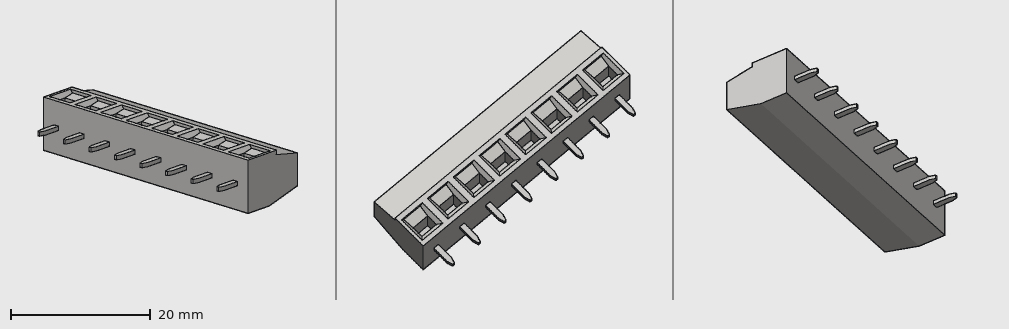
import cadquery as cq

pole_count = 8
pole_pitch = 5.0

body_length = pole_count * pole_pitch
body_depth = 10.4
body_height = 8.1
back_top_drop = 1.55
step_drop = 0.7
top_face_depth = 5.95
bottom_face_depth = 4.45
back_bottom_rise = 1.55

pin_length = 3.7
pin_width = 0.9
pin_thickness = 0.65
pin_tip_length = 0.9
pin_tip_width = 0.35

pocket_width = 4.0
pocket_length = 4.35
pocket_front_wall = 0.75
funnel_depth = 0.7
funnel_front_inset = 0.7
funnel_side_inset = 0.6
ledge_length = 1.8
ledge_back_depth = 0.5

mid_height = body_height / 2
pocket_back = pocket_front_wall + pocket_length
shaft_front = pocket_front_wall + funnel_front_inset
shaft_length = pocket_length - funnel_front_inset - ledge_length
shaft_width = pocket_width - 2 * funnel_side_inset
funnel_floor = body_height - funnel_depth
shaft_floor = mid_height


def make_body():
    """Solid housing, its side profile extruded along the row of poles."""
    profile = [
        (0, 0),
        (bottom_face_depth, 0),
        (body_depth, back_bottom_rise),
        (body_depth, body_height - back_top_drop),
        (top_face_depth, body_height - step_drop),
        (top_face_depth, body_height),
        (0, body_height),
    ]
    return cq.Workplane("YZ").polyline(profile).close().extrude(body_length / 2, both=True)


def make_pin(x):
    """Flat pin with a tapered tip, rooted in the front face at mid height."""
    half_width = pin_width / 2
    half_tip = pin_tip_width / 2
    taper_start = -(pin_length - pin_tip_length)
    outline = [
        (x - half_width, 0),
        (x - half_width, taper_start),
        (x - half_tip, -pin_length),
        (x + half_tip, -pin_length),
        (x + half_width, taper_start),
        (x + half_width, 0),
    ]
    pin = cq.Workplane("XY").workplane(offset=mid_height - pin_thickness / 2)
    return pin.polyline(outline).close().extrude(pin_thickness)


def make_pocket(x):
    """Cutter for one pocket: a funnel with a sloped rear ledge above a straight shaft."""
    side_taper = [
        (x - pocket_width / 2, body_height),
        (x - shaft_width / 2, funnel_floor),
        (x + shaft_width / 2, funnel_floor),
        (x + pocket_width / 2, body_height),
    ]
    lengthwise = [
        (pocket_front_wall, body_height),
        (shaft_front, funnel_floor),
        (shaft_front + shaft_length, funnel_floor),
        (pocket_back, body_height - ledge_back_depth),
        (pocket_back, body_height),
    ]
    across = cq.Workplane("XZ").polyline(side_taper).close().extrude(-body_depth)
    along = cq.Workplane("YZ").polyline(lengthwise).close().extrude(body_length, both=True)
    shaft = cq.Workplane("XY").box(
        shaft_width, shaft_length, funnel_floor - shaft_floor, centered=(True, False, False)
    ).translate((x, shaft_front, shaft_floor))
    return across.intersect(along).union(shaft)


result = make_body()
for pole in range(pole_count):
    pole_x = (pole + 0.5) * pole_pitch - body_length / 2
    result = result.cut(make_pocket(pole_x)).union(make_pin(pole_x))